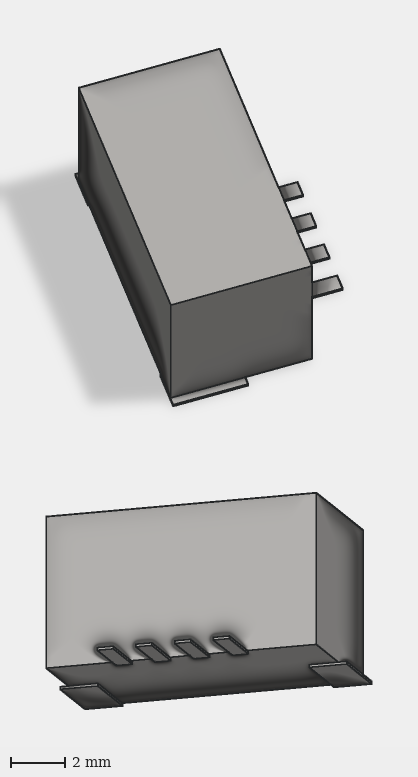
import cadquery as cq

overall_width = 11.14
overall_depth = 7.64
overall_height = 5.9

contact_thickness = 0.1

housing_width = 10.49
housing_depth = 5.5
housing_height = overall_height - contact_thickness
housing_front_setback = 0.02

pad_width = 1.46
pad_depth = 2.93

pin_count = 4
pin_pitch = 1.5
pin_width = 0.62
pin_length = 2.24


def flat_block(width, depth, height, center_x, front_y, bottom_z):
    """Rectangular block placed by its X center, front face and underside."""
    return (
        cq.Workplane("XY")
        .box(width, depth, height, centered=(True, False, False))
        .translate((center_x, front_y, bottom_z))
    )


def make_housing():
    return flat_block(
        housing_width, housing_depth, housing_height, 0, housing_front_setback, contact_thickness
    )


def make_mounting_pad(side):
    """Pad flush with the outer width; side is -1 for left, +1 for right."""
    center_x = side * (overall_width - pad_width) / 2
    return flat_block(pad_width, pad_depth, contact_thickness, center_x, 0, 0)


def make_signal_pin(index):
    """Pin running from under the housing's rear edge to the back of the part."""
    center_x = (index - (pin_count - 1) / 2) * pin_pitch
    front_y = overall_depth - pin_length
    return flat_block(pin_width, pin_length, contact_thickness, center_x, front_y, 0)


housing = make_housing()
mounting_pads = [make_mounting_pad(side) for side in (-1, 1)]
signal_pins = [make_signal_pin(index) for index in range(pin_count)]

bodies = [housing, *mounting_pads, *signal_pins]
result = cq.Compound.makeCompound([body.val() for body in bodies])